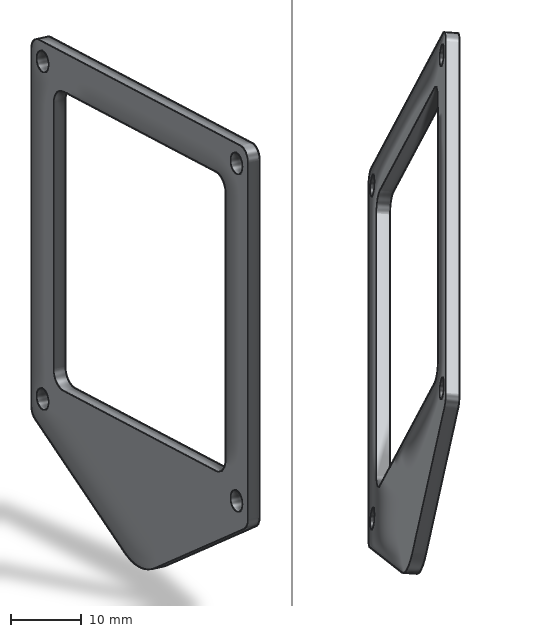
import cadquery as cq
import math

height = 71.3
width = 56.7
thickness = 2.0
corner_radius = 2.0
tip_radius = 8.0
slope_angle = math.radians(29.0)
window_size = 44.95
window_radius = 2.5
hole_spacing = 50.7
hole_diameter = 3.15

half_width = width / 2
rounded_tip_z = half_width - height
sharp_tip_z = rounded_tip_z - tip_radius * (1 / math.cos(slope_angle) - 1)
shoulder_z = sharp_tip_z + half_width * math.tan(slope_angle)


def make_plate():
    """Square plate with a rounded point at the bottom, thickness along Y."""
    plate = (
        cq.Workplane("XZ", origin=(0, thickness / 2, 0))
        .moveTo(-half_width, half_width)
        .lineTo(half_width, half_width)
        .lineTo(half_width, shoulder_z)
        .lineTo(0, sharp_tip_z)
        .lineTo(-half_width, shoulder_z)
        .close()
        .extrude(thickness)
    )
    plate = plate.edges("|Y").edges("<Z").fillet(tip_radius)
    return plate.edges("|Y").edges("<X or >X or >Z").fillet(corner_radius)


def make_window():
    """Rounded square opening centred in the frame."""
    opening = cq.Workplane("XZ").box(window_size, window_size, thickness)
    return opening.edges("|Y").fillet(window_radius)


def make_holes():
    """Four mounting holes through the frame corners."""
    return (
        cq.Workplane("XZ", origin=(0, thickness / 2, 0))
        .rect(hole_spacing, hole_spacing, forConstruction=True)
        .vertices()
        .circle(hole_diameter / 2)
        .extrude(thickness)
    )


result = make_plate().cut(make_window()).cut(make_holes())